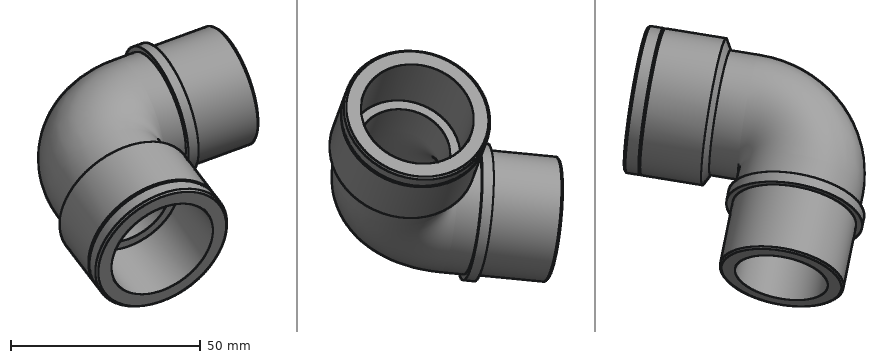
import cadquery as cq

pipe_diameter = 33.5
pipe_radius = pipe_diameter / 2
bend_radius = pipe_radius
bore_diameter = 24.95

spigot_diameter = 33.2
spigot_chamfer = 0.5
collar_diameter = 36.55
collar_start = 6.3
collar_width = 3.0

socket_diameter = 39.4
socket_radius = socket_diameter / 2
overall_length = 65.3
overall_depth = 64.7
socket_end = overall_length - bend_radius - collar_diameter / 2
spigot_length = overall_depth - bend_radius - socket_radius
shoulder_start = 7.8
shoulder_end = 9.4
socket_chamfer = 0.6
groove_center = 26.0
groove_width = 0.5
groove_depth = 0.3

socket_bore_diameter = 30.3
socket_bore_depth = spigot_length - collar_start - collar_width


def spigot_cylinder(diameter, start, length):
    """Cylinder along +Y on the spigot axis."""
    plane = cq.Plane(origin=(-bend_radius, start, 0), xDir=(1, 0, 0), normal=(0, 1, 0))
    return cq.Workplane(plane).circle(diameter / 2).extrude(length)


def socket_cylinder(diameter, start, length):
    """Cylinder along +X on the socket axis."""
    plane = cq.Plane(origin=(start, -bend_radius, 0), xDir=(0, 1, 0), normal=(1, 0, 0))
    return cq.Workplane(plane).circle(diameter / 2).extrude(length)


def bend(diameter):
    """Quarter-turn elbow from the spigot axis to the socket axis."""
    section = cq.Workplane("XZ").center(-bend_radius, 0).circle(diameter / 2)
    return section.revolve(90, (bend_radius, 0, 0), (bend_radius, 1, 0))


def spigot():
    neck = spigot_cylinder(pipe_diameter, 0, collar_start)
    tube = spigot_cylinder(spigot_diameter, collar_start, spigot_length - collar_start)
    tube = tube.faces(">Y").chamfer(spigot_chamfer)
    return neck.union(tube).union(spigot_cylinder(collar_diameter, collar_start, collar_width))


def socket():
    """Solid socket turned about its own axis: pipe neck, cone, body with a V-groove."""
    groove_start = groove_center - groove_width / 2
    groove_end = groove_center + groove_width / 2
    groove_radius = socket_radius - groove_depth
    profile = [
        (0, 0),
        (0, pipe_radius),
        (shoulder_start, pipe_radius),
        (shoulder_end, socket_radius),
        (groove_start, socket_radius),
        (groove_center, groove_radius),
        (groove_end, socket_radius),
        (socket_end - socket_chamfer, socket_radius),
        (socket_end, socket_radius - socket_chamfer),
        (socket_end, 0),
    ]
    turned = cq.Workplane("XY").polyline(profile).close().revolve(360, (0, 0, 0), (1, 0, 0))
    return turned.translate((0, -bend_radius, 0))


def passage():
    """Through bore, with the wider socket bore."""
    through = bend(bore_diameter)
    through = through.union(spigot_cylinder(bore_diameter, 0, spigot_length))
    through = through.union(socket_cylinder(bore_diameter, 0, socket_end))
    socket_bore = socket_cylinder(
        socket_bore_diameter, socket_end - socket_bore_depth, socket_bore_depth
    )
    return through.union(socket_bore)


result = bend(pipe_diameter).union(spigot()).union(socket()).cut(passage())
result = cq.Workplane(result.solids().val())